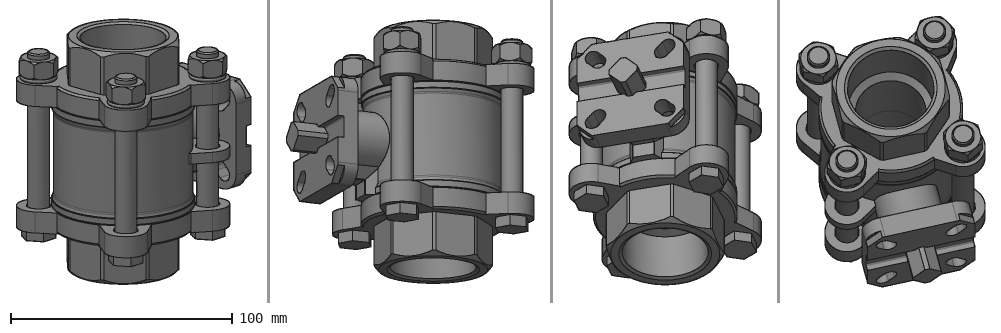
import cadquery as cq
import math


total_length = 110.0
body_length = 49.9
flange_thickness = 10.0
half_length = total_length / 2
body_half = body_length / 2
flange_outer_z = body_half + flange_thickness

octagon_flats = 50.0
octagon_corner_diameter = 53.6
octagon_rim_diameter = 49.3

bore_diameter = 32.0
thread_diameter = 38.9
thread_depth = 22.8
thread_run_out = 2.0
mouth_diameter = 41.8
mouth_depth = 0.9

disc_diameter = 65.0
disc_chamfer = 1.0
ear_radius = 10.0
ear_spacing = 54.0
ear_center = ear_spacing / 2
web_root_offset = 13.1

body_diameter = 63.0
ring_diameter = 64.8
ring_chamfer = 0.3
ring_start = 21.7
joint_groove_diameter = 63.8
joint_groove_width = 0.4
shoulder_diameter = 63.4
shoulder_start = 19.1
shoulder_end = 19.9
body_ear_thickness = 5.0

rod_diameter = 10.0
rod_hole_diameter = 11.0
rod_chamfer = 0.7
rod_top_z = 48.0
washer_flat_diameter = 15.0
washer_thickness = 1.9
nut_flats = 16.0
nut_height = 8.5
nut_chamfer = 1.2
head_flats = 13.9
head_height = 5.0

collar_diameter = 29.5
plate_size = 50.0
plate_thickness = 10.0
plate_outer_y = 57.9
plate_inner_y = plate_outer_y - plate_thickness
plate_corner_radius = 8.2
corner_cut_leg = 7.0
corner_cut_depth = 3.4
groove_width = 10.0
groove_depth = 3.1
groove_corner_radius = 0.5
slot_inner_radius = 21.0
slot_outer_radius = 25.0
slot_width = 6.8

stem_flats = 11.0
stem_corner_width = 13.2
stem_end_y = 69.4

rib_land_width = 10.0
rib_land_height = 0.4
rib_flank_angle = 30.0
rib_bottom_z = -18.3
rib_outer_y = 36.0
rib_depth = 9.9


def revolve_about_z(points):
    return cq.Workplane("XZ").polyline(points).close().revolve(360, (0, 0, 0), (0, 1, 0))


def hexagon(flats, height, bottom_z, turn):
    """Hexagonal prism on Z; with no turn two corners lie on X."""
    across_corners = flats / math.cos(math.radians(30))
    return (
        cq.Workplane("XY", origin=(0, 0, bottom_z))
        .polygon(6, across_corners)
        .extrude(height)
        .rotate((0, 0, 0), (0, 0, 1), turn)
    )


def tangent_point(point, center, radius, side):
    """Touch point on a circle of the line from a point; side is +1 or -1."""
    dx = point[0] - center[0]
    dy = point[1] - center[1]
    angle = math.atan2(dy, dx) + side * math.acos(radius / math.hypot(dx, dy))
    return (center[0] + radius * math.cos(angle), center[1] + radius * math.sin(angle))


def ear(bottom_z, thickness):
    """Rounded ear in the +X +Y quadrant with webs tangent to its end."""
    center = (ear_center, ear_center)
    tip = ear_center + ear_radius * math.sqrt(0.5)
    web_root_reach = math.sqrt((disc_diameter / 2) ** 2 - web_root_offset ** 2)
    upper_root = (web_root_offset, web_root_reach)
    lower_root = (web_root_reach, web_root_offset)
    upper_touch = tangent_point(upper_root, center, ear_radius, -1)
    lower_touch = tangent_point(lower_root, center, ear_radius, 1)
    return (
        cq.Workplane("XY", origin=(0, 0, bottom_z))
        .moveTo(0, 0)
        .lineTo(*upper_root)
        .lineTo(*upper_touch)
        .threePointArc((tip, tip), lower_touch)
        .lineTo(*lower_root)
        .close()
        .extrude(thickness)
        .faces(">Z")
        .workplane(origin=(ear_center, ear_center, 0))
        .hole(rod_hole_diameter)
    )


def flange():
    disc = (
        cq.Workplane("XY", origin=(0, 0, body_half))
        .circle(disc_diameter / 2)
        .extrude(flange_thickness)
        .faces(">Z")
        .chamfer(disc_chamfer)
    )
    flange_ear = ear(body_half, flange_thickness)
    for quarter in range(4):
        disc = disc.union(flange_ear.rotate((0, 0, 0), (0, 0, 1), 90 * quarter))
    return disc


def pipe_end():
    across_corners = octagon_flats / math.cos(math.pi / 8)
    octagon = (
        cq.Workplane("XY")
        .polygon(8, across_corners)
        .extrude(half_length)
        .rotate((0, 0, 0), (0, 0, 1), 22.5)
    )
    corner_radius = octagon_corner_diameter / 2
    rim_radius = octagon_rim_diameter / 2
    rim_drop = corner_radius - rim_radius
    envelope = revolve_about_z([
        (0, 0),
        (corner_radius, 0),
        (corner_radius, half_length - rim_drop),
        (rim_radius, half_length),
        (0, half_length),
    ])
    return octagon.intersect(envelope)


def end_cap():
    return pipe_end().union(flange())


def upper_half_body():
    """Upper half of the body, from its middle to the flange joint."""
    barrel_radius = body_diameter / 2
    shoulder_radius = shoulder_diameter / 2
    ring_radius = ring_diameter / 2
    groove_radius = joint_groove_diameter / 2
    groove_start = body_half - joint_groove_width
    return revolve_about_z([
        (0, 0),
        (barrel_radius, 0),
        (barrel_radius, shoulder_start),
        (shoulder_radius, shoulder_end),
        (ring_radius - ring_chamfer, ring_start - ring_chamfer),
        (ring_radius, ring_start),
        (ring_radius, groove_start),
        (groove_radius, groove_start),
        (groove_radius, body_half),
        (0, body_half),
    ])


def middle_body():
    upper_half = upper_half_body()
    locating_ear = ear(-body_ear_thickness / 2, body_ear_thickness)
    return upper_half.union(upper_half.mirror("XY")).union(locating_ear)


def flow_passage():
    thread_end_z = half_length - thread_depth
    return revolve_about_z([
        (0, 0),
        (bore_diameter / 2, 0),
        (bore_diameter / 2, thread_end_z - thread_run_out),
        (thread_diameter / 2, thread_end_z),
        (thread_diameter / 2, half_length - mouth_depth),
        (mouth_diameter / 2, half_length),
        (0, half_length),
    ])


def washer():
    """Washer with a fully rounded rim."""
    flat_radius = washer_flat_diameter / 2
    rim_radius = washer_thickness / 2
    top_z = flange_outer_z + washer_thickness
    return (
        cq.Workplane("XZ")
        .moveTo(0, flange_outer_z)
        .lineTo(flat_radius, flange_outer_z)
        .threePointArc((flat_radius + rim_radius, flange_outer_z + rim_radius), (flat_radius, top_z))
        .lineTo(0, top_z)
        .close()
        .revolve(360, (0, 0, 0), (0, 1, 0))
    )


def nut(turn):
    bottom_z = flange_outer_z + washer_thickness
    corner_radius = nut_flats / math.cos(math.radians(30)) / 2
    envelope = (
        cq.Workplane("XY", origin=(0, 0, bottom_z))
        .circle(corner_radius)
        .extrude(nut_height)
        .faces("<Z or >Z")
        .chamfer(nut_chamfer)
    )
    return hexagon(nut_flats, nut_height, bottom_z, turn).intersect(envelope)


def tie_bolt(nut_turn):
    rod = (
        cq.Workplane("XY", origin=(0, 0, -flange_outer_z))
        .circle(rod_diameter / 2)
        .extrude(flange_outer_z + rod_top_z)
        .faces(">Z")
        .chamfer(rod_chamfer)
    )
    head = hexagon(head_flats, head_height, -flange_outer_z - head_height, 90)
    return rod.union(washer()).union(nut(nut_turn)).union(head)


def tie_bolts():
    bolts = []
    for x_side in (-1, 1):
        for y_side in (-1, 1):
            nut_turn = 0 if x_side == y_side else 90
            place = (x_side * ear_center, y_side * ear_center, 0)
            bolts.append(tie_bolt(nut_turn).translate(place))
    return bolts


def mounting_plate():
    plate = (
        cq.Workplane("XZ", origin=(0, plate_outer_y, 0))
        .rect(plate_size, plate_size)
        .extrude(plate_thickness)
        .edges("|Y")
        .fillet(plate_corner_radius)
    )
    outer_layer = (
        cq.Workplane("XZ", origin=(0, plate_outer_y, 0))
        .rect(plate_size, plate_size)
        .extrude(corner_cut_depth)
    )
    kept_layer = outer_layer.edges("|Y").chamfer(corner_cut_leg)
    plate = plate.cut(outer_layer.cut(kept_layer))

    groove = (
        cq.Workplane("XY")
        .box(plate_size, 2 * groove_depth, groove_width)
        .edges("|X and <Y")
        .fillet(groove_corner_radius)
        .translate((0, plate_outer_y, 0))
    )
    plate = plate.cut(groove)

    slot_middle = (slot_inner_radius + slot_outer_radius) / 2
    slot_length = slot_outer_radius - slot_inner_radius + slot_width
    slots = (
        cq.Workplane("XZ", origin=(0, plate_outer_y, 0))
        .polarArray(slot_middle, 45, 360, 4)
        .slot2D(slot_length, slot_width)
        .extrude(plate_thickness)
    )
    return plate.cut(slots)


def collar():
    return cq.Workplane("XZ").circle(collar_diameter / 2).extrude(-plate_inner_y)


def stem():
    square = (
        cq.Workplane("XZ")
        .rect(stem_flats, stem_flats)
        .extrude(-stem_end_y)
        .rotate((0, 0, 0), (0, 1, 0), 45)
    )
    trim = cq.Workplane("XZ").rect(stem_corner_width, stem_corner_width).extrude(-stem_end_y)
    return square.intersect(trim)


def rib_profile(plane):
    """Rib cross-section with its land at the origin, growing toward local -Y."""
    half_land = rib_land_width / 2
    spread = (rib_depth - rib_land_height) * math.tan(math.radians(rib_flank_angle))
    half_root = half_land + spread
    return (
        plane.moveTo(-half_land, 0)
        .lineTo(half_land, 0)
        .lineTo(half_land, -rib_land_height)
        .lineTo(half_root, -rib_depth)
        .lineTo(-half_root, -rib_depth)
        .lineTo(-half_land, -rib_land_height)
        .close()
    )


def collar_rib():
    """Rib along the underside of the collar, from inside the body to the plate."""
    start_y = rib_outer_y - rib_depth
    profile_plane = cq.Workplane(
        cq.Plane(origin=(0, start_y, rib_bottom_z), xDir=(1, 0, 0), normal=(0, 1, 0))
    )
    return rib_profile(profile_plane).extrude(plate_inner_y - start_y)


def body_rib():
    """Rib on the +Y side of the body, from the lower flange up into the collar."""
    profile_plane = cq.Workplane("XY", origin=(0, rib_outer_y, -body_half))
    return rib_profile(profile_plane).extrude(body_half + rib_bottom_z + rib_depth)


upper_cap = end_cap()
lower_cap = upper_cap.mirror("XY")
result = middle_body().union(upper_cap).union(lower_cap)
result = result.union(collar()).union(collar_rib()).union(body_rib())
result = result.union(mounting_plate()).union(stem())
result = result.cut(flow_passage()).cut(flow_passage().mirror("XY"))
for bolt in tie_bolts():
    result = result.union(bolt)